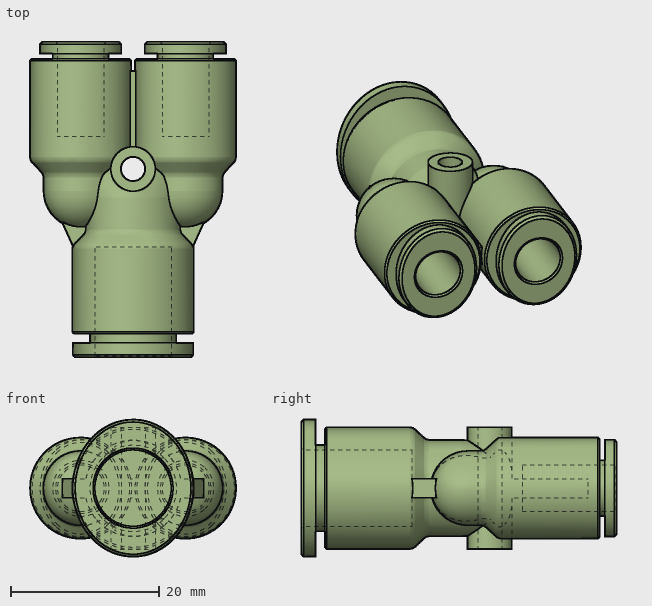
import cadquery as cq

LENGTH = 42.55
SIDES = (-1, 1)
EDGE_CHAMFER = 0.25
RING_CHAMFER = 0.35
CONE_BLEND_RADIUS = 1.0

STEM_RADIUS = 6.5
STEM_DOME_Y = 21.55
MAIN_BODY_RADIUS = 8.2
MAIN_BODY_START = 3.2
MAIN_CONE_START = 15.05
MAIN_CONE_END = 16.85
MAIN_RING_WIDTH = 16.25
MAIN_RING_HEIGHT = 18.5
MAIN_RING_LENGTH = 1.95
MAIN_NECK_RADIUS = 5.85
MAIN_BORE_RADIUS = 5.15
MAIN_BORE_DEPTH = 14.9

BRANCH_SPACING = 14.13
BRANCH_OFFSET = BRANCH_SPACING / 2
BRANCH_STEM_RADIUS = 5.0
BRANCH_DOME_Y = 22.45
BRANCH_BODY_DIAMETER = 13.65
BRANCH_BODY_END = 40.25
BRANCH_CONE_START = 26.6
BRANCH_CONE_END = 24.65
BRANCH_RING_WIDTH = 10.98
BRANCH_RING_HEIGHT = 13.05
BRANCH_RING_LENGTH = 1.6
BRANCH_NECK_RADIUS = 3.8
BRANCH_BORE_RADIUS = 3.15
BRANCH_BORE_DEPTH = 12.75

BOSS_Y = 25.4
BOSS_DIAMETER = 6.0
BOSS_HOLE_RADIUS = 1.6
PLATE_THICKNESS = 2.55
GUSSET_TOP_X = 9.55
GUSSET_TOP_Y = 18.13
GUSSET_FOOT_X = 8.05
GUSSET_FOOT_Y = 14.85
WEB_END = 38.65


def rod(radius, start, end):
    """Cylinder along the Y axis from start to end."""
    return cq.Workplane("XZ", origin=(0, start, 0)).circle(radius).extrude(start - end)


def release_ring(width, height, length):
    """Oval collar from Y = 0 towards +Y, with its outer face edge broken."""
    collar = cq.Workplane("XZ").ellipse(width / 2, height / 2).extrude(-length)
    return collar.faces("<Y").chamfer(RING_CHAMFER)


def port(
    ring,
    neck_radius,
    body_radius,
    body_start,
    cone_start,
    cone_end,
    stem_radius,
    dome_start,
):
    """Port facing -Y with its face at Y = 0: ring, neck, body, blended cone and domed stem."""
    shell = (
        cq.Workplane("XY")
        .moveTo(0, body_start)
        .lineTo(body_radius - EDGE_CHAMFER, body_start)
        .lineTo(body_radius, body_start + EDGE_CHAMFER)
        .lineTo(body_radius, cone_start)
        .lineTo(stem_radius, cone_end)
        .lineTo(stem_radius, dome_start)
        .radiusArc((0, dome_start + stem_radius), -stem_radius)
        .close()
        .revolve(360, (0, 0, 0), (0, 1, 0))
    )
    cone_ends = cq.selectors.BoxSelector((-0.43, cone_start - 0.43, -0.43), (0.43, cone_end + 0.43, 0.43))
    shell = shell.edges(cone_ends).fillet(CONE_BLEND_RADIUS)
    return shell.union(rod(neck_radius, 0, body_start + EDGE_CHAMFER)).union(ring)


def bore(radius, depth):
    """Cutter for a tube socket from Y = 0 towards +Y, with a lead-in chamfer."""
    lead_in = (
        cq.Workplane("XZ")
        .circle(radius + EDGE_CHAMFER)
        .workplane(offset=-EDGE_CHAMFER)
        .circle(radius)
        .loft()
    )
    return rod(radius, 0, depth).union(lead_in)


def at_branch(shape, side):
    """Turn a -Y facing shape to face +Y and place it on one branch axis."""
    return shape.rotate((0, 0, 0), (0, 0, 1), 180).translate((side * BRANCH_OFFSET, LENGTH, 0))


def gusset(side):
    """Plate bridging the main cone and one branch dome."""
    return (
        cq.Workplane("XY", origin=(0, 0, -PLATE_THICKNESS / 2))
        .moveTo(0, GUSSET_FOOT_Y)
        .lineTo(side * GUSSET_FOOT_X, GUSSET_FOOT_Y)
        .lineTo(side * GUSSET_TOP_X, GUSSET_TOP_Y)
        .lineTo(side * BRANCH_OFFSET, BRANCH_DOME_Y)
        .lineTo(0, BRANCH_DOME_Y)
        .close()
        .extrude(PLATE_THICKNESS)
    )


def boss_cylinder(radius):
    """Vertical cylinder on the boss axis, spanning the height of the main body."""
    return (
        cq.Workplane("XY", origin=(0, BOSS_Y, 0))
        .circle(radius)
        .extrude(MAIN_BODY_RADIUS, both=True)
    )


main_port = port(
    ring=release_ring(MAIN_RING_WIDTH, MAIN_RING_HEIGHT, MAIN_RING_LENGTH),
    neck_radius=MAIN_NECK_RADIUS,
    body_radius=MAIN_BODY_RADIUS,
    body_start=MAIN_BODY_START,
    cone_start=MAIN_CONE_START,
    cone_end=MAIN_CONE_END,
    stem_radius=STEM_RADIUS,
    dome_start=STEM_DOME_Y,
)

branch_port = port(
    ring=release_ring(BRANCH_RING_WIDTH, BRANCH_RING_HEIGHT, BRANCH_RING_LENGTH),
    neck_radius=BRANCH_NECK_RADIUS,
    body_radius=BRANCH_BODY_DIAMETER / 2,
    body_start=LENGTH - BRANCH_BODY_END,
    cone_start=LENGTH - BRANCH_CONE_START,
    cone_end=LENGTH - BRANCH_CONE_END,
    stem_radius=BRANCH_STEM_RADIUS,
    dome_start=LENGTH - BRANCH_DOME_Y,
)

web = (
    cq.Workplane("XY", origin=(0, BOSS_Y, 0))
    .box(BRANCH_SPACING / 2, WEB_END - BOSS_Y, PLATE_THICKNESS, centered=(True, False, True))
)

boss = boss_cylinder(BOSS_DIAMETER / 2)
boss_hole = boss_cylinder(BOSS_HOLE_RADIUS)

result = main_port.union(web).union(boss)
for side in SIDES:
    result = result.union(at_branch(branch_port, side)).union(gusset(side))

result = result.cut(boss_hole).cut(bore(MAIN_BORE_RADIUS, MAIN_BORE_DEPTH))
for side in SIDES:
    result = result.cut(at_branch(bore(BRANCH_BORE_RADIUS, BRANCH_BORE_DEPTH), side))